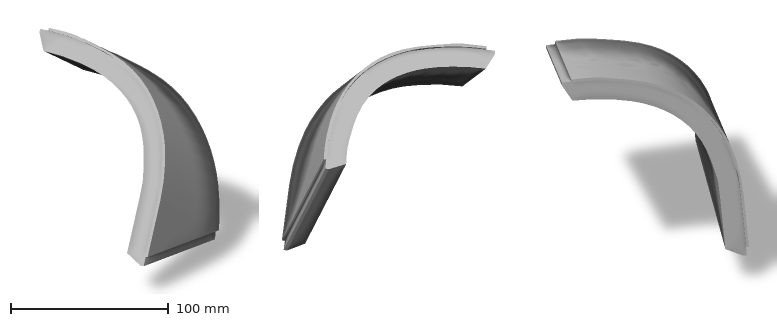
import cadquery as cq
import math


LEG_X = 108.02
ARC_RADII = (120.9, 78.2, 154.1)
ARC_ENDS = (18.2, 68.8, 87.8)
STATIONS_PER_ARC = 2

WALL = 15.0
SKIN = 1.75
END_REACH = 6.0
END_FLAT = 2.25
SKIN_LIP = 1.0

LEG_LENGTH = 36.05
LOWER_END_LENGTH = 102.9
END_TILT = 20.0
PART_TILT = -30.0

OVERSIZE = 200.0

tilt = math.radians(END_TILT)
along_end = cq.Vector(0, math.cos(tilt), math.sin(tilt))
end_up = cq.Vector(0, -math.sin(tilt), math.cos(tilt))
lower_front = cq.Vector(0, 0, -LEG_LENGTH)


def polar(radius, degrees):
    """Profile-plane vector at an angle above X."""
    angle = math.radians(degrees)
    return cq.Vector(radius * math.cos(angle), radius * math.sin(angle))


def xy(vector):
    return (vector.x, vector.y)


def bend_points(depth):
    """Points along the bend, leg first, at a depth below the outer surface."""
    center = cq.Vector(LEG_X, 0) - polar(ARC_RADII[0], 0)
    points = [center + polar(ARC_RADII[0] - depth, 0)]
    start_angle = 0.0
    last_radius = ARC_RADII[0]
    for radius, end_angle in zip(ARC_RADII, ARC_ENDS):
        center = center - polar(radius - last_radius, start_angle)
        step = (end_angle - start_angle) / STATIONS_PER_ARC
        for i in range(1, STATIONS_PER_ARC + 1):
            points.append(center + polar(radius - depth, start_angle + i * step))
        start_angle = end_angle
        last_radius = radius
    return points


upper_outward = polar(1, ARC_ENDS[-1])
upper_onward = polar(1, ARC_ENDS[-1] + 90)


def wall_stock(outer_depth, inner_depth, upper_corners, front):
    """Wall layer between two depths, extruded rearwards from the front position.

    upper_corners are the extra profile corners of its upper end, outer side first."""
    outer = bend_points(outer_depth)
    inner = bend_points(inner_depth)
    leg_direction = cq.Vector(0, 1)

    profile = (
        cq.Workplane("XZ", origin=(0, front, 0))
        .moveTo(outer[0].x, -OVERSIZE)
        .lineTo(*xy(outer[0]))
        .spline(
            [xy(point) for point in outer[1:]],
            tangents=[xy(leg_direction), xy(upper_onward)],
            includeCurrent=True,
        )
    )
    for corner in upper_corners:
        profile = profile.lineTo(*xy(corner))
    profile = (
        profile.lineTo(*xy(inner[-1]))
        .spline(
            [xy(point) for point in reversed(inner[:-1])],
            tangents=[xy(-upper_onward), xy(-leg_direction)],
            includeCurrent=True,
        )
        .lineTo(inner[0].x, -OVERSIZE)
        .close()
    )
    return profile.extrude(-OVERSIZE)


def kept_region(drop):
    """Space ahead of the core's rear plane and above a plane parallel to the lower end.

    drop is how far that plane lies below the end of the skin."""
    corner = lower_front + along_end * (LOWER_END_LENGTH - OVERSIZE) - end_up * drop
    plane = cq.Plane(origin=corner, xDir=(1, 0, 0), normal=end_up)
    return cq.Workplane(plane).rect(2 * OVERSIZE, 2 * OVERSIZE).extrude(2 * OVERSIZE)


def lower_chamfer():
    """Wedge removed from the inner side of the core's lower end."""
    inner_x = LEG_X - WALL
    flat_x = LEG_X - SKIN - END_FLAT
    plane = cq.Plane(origin=lower_front, xDir=(1, 0, 0), normal=-along_end)
    return (
        cq.Workplane(plane)
        .moveTo(inner_x, 0)
        .lineTo(flat_x, -END_REACH)
        .lineTo(inner_x, -END_REACH)
        .close()
        .extrude(OVERSIZE, both=True)
    )


def core():
    tip = bend_points(SKIN)[-1] + upper_onward * END_REACH
    upper_corners = [tip, tip - upper_outward * END_FLAT]
    stock = wall_stock(SKIN, WALL, upper_corners, 0)
    return stock.intersect(kept_region(END_REACH)).cut(lower_chamfer())


def skin():
    """Skin with a front lip along the generators and a rear lip square to the rear plane."""
    stock = wall_stock(0, SKIN, [], -SKIN_LIP)
    body = stock.intersect(kept_region(0))
    rear_face = body.faces(cq.selectors.DirectionMinMaxSelector(along_end)).val()
    rear_lip = cq.Solid.extrudeLinear(rear_face, along_end * SKIN_LIP)
    return body.union(rear_lip)


result = core().union(skin()).rotate((0, 0, 0), (1, 0, 0), PART_TILT)